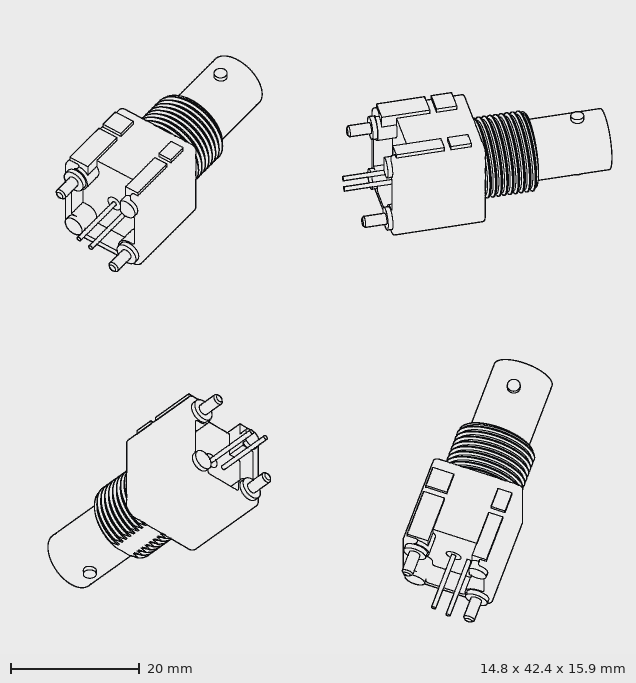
import cadquery as cq
import math


OVERALL_LENGTH = 42.35

HOUSING_WIDTH = 14.77
HOUSING_HEIGHT = 15.25
HOUSING_DEPTH = 14.75
TOP_CORNER_RADIUS = 1.0
BOTTOM_CORNER_RADIUS = 1.7
RIM_FILLET = 0.4

GRID = 2.55
CORNER_OFFSET = 2 * GRID
FOOT_RADIUS = 1.63
FOOT_HEIGHT = 0.75
BOSS_RADIUS = 2.095

CAVITY_DEPTH = 3.05
CAVITY_HALF_WIDTH = 6.05
CAVITY_FLOOR_Z = -6.4
CAVITY_FILLET = 0.42
NOTCH_DEPTH = 0.68
NOTCH_CORNER_RADIUS = 0.42

PAD_HEIGHT = 0.65
PAD_ROOT = 0.85
LEFT_PAD_X = (-6.85, -3.4)
RIGHT_PAD_X = (3.9, 6.22)
SHORT_PAD_DEPTHS = (2.05, 5.3)
LONG_PAD_DEPTHS = (6.35, HOUSING_DEPTH - NOTCH_DEPTH)

BARREL_RADIUS = 4.83
BARREL_LENGTH = 20.83
LUG_RADIUS = 1.0
LUG_REACH = 5.5
LUG_Y = 16.42
THREAD_LENGTH = 8.8
THREAD_ROOT_RADIUS = 5.9
THREAD_CREST_RADIUS = 6.35
THREAD_FRONT_RADIUS = 5.93
THREAD_PITCH = 0.905
THREAD_BASE_WIDTH = 0.7
THREAD_CREST_WIDTH = 0.13
THREAD_OVERLAP = 0.1
THREAD_FLAT_Z = -5.67
THREAD_TOP_CREST_Y = 0.7
THREAD_SPARE_TURNS = 2

CONTACT_RADIUS = 0.36
GROUND_CONTACT_DEPTH = OVERALL_LENGTH - BARREL_LENGTH
CENTRE_CONTACT_DEPTH = 21.1
INSULATOR_RADIUS = 1.23

FLANGE_RADIUS = 1.8
PEG_RADIUS = 0.9
PEG_LENGTH = 3.7
PEG_CHAMFER = 0.3

HALF_WIDTH = HOUSING_WIDTH / 2
HALF_HEIGHT = HOUSING_HEIGHT / 2
CAVITY_FLOOR_DEPTH = HOUSING_DEPTH - CAVITY_DEPTH


def block(x_range, depth_range, z_range):
    """Box between two X values, two depths and two Z values."""
    size = (x_range[1] - x_range[0], depth_range[1] - depth_range[0], z_range[1] - z_range[0])
    corner = (x_range[0], -depth_range[1], z_range[0])
    return cq.Workplane("XY").box(*size, centered=False).translate(corner)


def rod(radius, x, z, start_depth, end_depth):
    """Cylinder along Y between two depths."""
    plane = cq.Workplane("XZ", origin=(x, -start_depth, z))
    return plane.circle(radius).extrude(end_depth - start_depth)



def rim_notch():
    """Opening in the upper rear rim, ending on the upper left boss and the upper right foot."""
    notch = block(
        (-CORNER_OFFSET, CORNER_OFFSET),
        (HOUSING_DEPTH - NOTCH_DEPTH, HOUSING_DEPTH),
        (CORNER_OFFSET, HALF_HEIGHT),
    )
    boss = rod(BOSS_RADIUS, -CORNER_OFFSET, CORNER_OFFSET, 0, HOUSING_DEPTH)
    foot = rod(FOOT_RADIUS, CORNER_OFFSET, CORNER_OFFSET, 0, HOUSING_DEPTH)
    return notch.cut(boss).cut(foot)


def housing_shell():
    """Rounded block with the rim notch and softened front and rear edges."""
    shell = block((-HALF_WIDTH, HALF_WIDTH), (0, HOUSING_DEPTH), (-HALF_HEIGHT, HALF_HEIGHT))
    shell = shell.faces(">Z").edges("|Y").fillet(TOP_CORNER_RADIUS)
    shell = shell.faces("<Z").edges("|Y").fillet(BOTTOM_CORNER_RADIUS)
    shell = shell.cut(rim_notch())
    for side in (-1, 1):
        corner = (side * CORNER_OFFSET, -HOUSING_DEPTH + NOTCH_DEPTH / 2, HALF_HEIGHT)
        notch_corner = cq.selectors.NearestToPointSelector(corner)
        shell = shell.edges("|Y").edges(notch_corner).fillet(NOTCH_CORNER_RADIUS)
    shell = shell.faces(">Y").edges().fillet(RIM_FILLET)
    return shell.faces("<Y").edges("|Z").fillet(RIM_FILLET)


def arc_point(radius, centre_x, centre_z, angle):
    """Point on a circle in the XZ plane, with the angle in degrees from +X towards +Z."""
    turn = math.radians(angle)
    return (centre_x + radius * math.cos(turn), centre_z + radius * math.sin(turn))


def cavity():
    """Rear pocket that runs around the corner bosses and opens through the top."""
    c = CORNER_OFFSET
    left = -CAVITY_HALF_WIDTH
    right = CAVITY_HALF_WIDTH
    open_left = LEFT_PAD_X[1]
    open_right = RIGHT_PAD_X[0]
    boss_meets_pad_z = c + math.sqrt(BOSS_RADIUS**2 - (open_left + c) ** 2)
    outline = (
        cq.Workplane("XZ", origin=(0, -CAVITY_FLOOR_DEPTH, 0))
        .moveTo(open_left, HALF_HEIGHT)
        .lineTo(open_left, boss_meets_pad_z)
        .threePointArc(arc_point(BOSS_RADIUS, -c, c, 0), (-c, c - BOSS_RADIUS))
        .lineTo(left, c - BOSS_RADIUS)
        .lineTo(left, -c + FOOT_RADIUS)
        .lineTo(-c, -c + FOOT_RADIUS)
        .threePointArc(arc_point(FOOT_RADIUS, -c, -c, 45), (-c + FOOT_RADIUS, -c))
        .lineTo(-c + FOOT_RADIUS, CAVITY_FLOOR_Z)
        .lineTo(c - BOSS_RADIUS, CAVITY_FLOOR_Z)
        .lineTo(c - BOSS_RADIUS, -c)
        .threePointArc(arc_point(BOSS_RADIUS, c, -c, 135), (c, -c + BOSS_RADIUS))
        .lineTo(right, -c + BOSS_RADIUS)
        .lineTo(right, c - FOOT_RADIUS)
        .lineTo(open_right, c - FOOT_RADIUS)
        .lineTo(open_right, HALF_HEIGHT)
        .close()
    )
    pocket = outline.extrude(CAVITY_DEPTH)
    rounded_corners = [
        (left, c - BOSS_RADIUS),
        (-c + FOOT_RADIUS, CAVITY_FLOOR_Z),
        (c - BOSS_RADIUS, CAVITY_FLOOR_Z),
        (right, -c + BOSS_RADIUS),
        (right, c - FOOT_RADIUS),
    ]
    middle_y = -CAVITY_FLOOR_DEPTH - CAVITY_DEPTH / 2
    for x, z in rounded_corners:
        corner = cq.selectors.NearestToPointSelector((x, middle_y, z))
        pocket = pocket.edges("|Y").edges(corner).fillet(CAVITY_FILLET)
    return pocket


def feet():
    """Lower left round foot, and the upper right one cut flat along the cavity side."""
    bottom_depth = HOUSING_DEPTH + FOOT_HEIGHT
    lower_left = rod(FOOT_RADIUS, -CORNER_OFFSET, -CORNER_OFFSET, CAVITY_FLOOR_DEPTH, bottom_depth)
    upper_right = rod(FOOT_RADIUS, CORNER_OFFSET, CORNER_OFFSET, CAVITY_FLOOR_DEPTH, bottom_depth)
    beyond_flat = block(
        (0, RIGHT_PAD_X[0]), (CAVITY_FLOOR_DEPTH, bottom_depth), (0, HALF_HEIGHT)
    )
    return lower_left.union(upper_right.cut(beyond_flat))


def make_housing():
    """Shell with pads, rear cavity, feet and the through holes for insulator and ground contact."""
    housing = housing_shell()
    pad_z = (HALF_HEIGHT - PAD_ROOT, HALF_HEIGHT + PAD_HEIGHT)
    for pad_x in (LEFT_PAD_X, RIGHT_PAD_X):
        for pad_depths in (SHORT_PAD_DEPTHS, LONG_PAD_DEPTHS):
            housing = housing.union(block(pad_x, pad_depths, pad_z))
    housing = housing.cut(cavity()).union(feet())
    housing = housing.cut(rod(INSULATOR_RADIUS, 0, 0, 0, CAVITY_FLOOR_DEPTH))
    return housing.cut(rod(CONTACT_RADIUS, GRID, 0, 0, CAVITY_FLOOR_DEPTH))



def thread_ridge():
    """Right-hand helical ridge, longer than the threaded length at both ends."""
    height = THREAD_LENGTH + 2 * THREAD_SPARE_TURNS * THREAD_PITCH
    inner_radius = THREAD_ROOT_RADIUS - THREAD_OVERLAP
    helix = cq.Wire.makeHelix(THREAD_PITCH, height, inner_radius)
    section = (
        cq.Workplane("XZ")
        .moveTo(inner_radius, -THREAD_BASE_WIDTH / 2)
        .lineTo(THREAD_CREST_RADIUS, -THREAD_CREST_WIDTH / 2)
        .lineTo(THREAD_CREST_RADIUS, THREAD_CREST_WIDTH / 2)
        .lineTo(inner_radius, THREAD_BASE_WIDTH / 2)
        .close()
    )
    ridge = section.sweep(cq.Workplane(obj=helix), isFrenet=True)
    ridge = ridge.rotate((0, 0, 0), (1, 0, 0), -90).rotate((0, 0, 0), (0, 1, 0), -90)
    return ridge.translate((0, THREAD_TOP_CREST_Y - THREAD_SPARE_TURNS * THREAD_PITCH, 0))


def make_barrel():
    """Plain sleeve with two bayonet lugs and a threaded neck that is flat underneath."""
    spare = 2 * THREAD_SPARE_TURNS * THREAD_PITCH
    core = rod(THREAD_ROOT_RADIUS, 0, 0, -THREAD_LENGTH - spare, spare)
    reach = THREAD_CREST_RADIUS + 0.42
    envelope = rod(reach, 0, 0, -THREAD_LENGTH, 0).faces(">Y").chamfer(reach - THREAD_FRONT_RADIUS)
    above_flat = block((-reach, reach), (-THREAD_LENGTH, 0), (THREAD_FLAT_Z, reach))
    envelope = envelope.intersect(above_flat)
    threaded = core.union(thread_ridge(), clean=False).intersect(envelope, clean=False)
    sleeve = rod(BARREL_RADIUS, 0, 0, -BARREL_LENGTH, 0)
    lugs = (
        cq.Workplane("XY", origin=(0, LUG_Y, 0)).circle(LUG_RADIUS).extrude(LUG_REACH, both=True)
    )
    return threaded.union(sleeve.union(lugs), clean=False)



def make_contact(x, end_depth):
    """Straight round wire that starts at the back of the barrel."""
    return rod(CONTACT_RADIUS, x, 0, 0, end_depth)


def make_insulator():
    """Bush around the centre contact, flush with the cavity floor."""
    bush = rod(INSULATOR_RADIUS, 0, 0, 0, CAVITY_FLOOR_DEPTH)
    return bush.cut(rod(CONTACT_RADIUS, 0, 0, 0, CAVITY_FLOOR_DEPTH))


def make_peg(x, z):
    """Chamfered peg on a flange that rests on the housing rear face."""
    flange_end = HOUSING_DEPTH + FOOT_HEIGHT
    flange = rod(FLANGE_RADIUS, x, z, HOUSING_DEPTH, flange_end)
    stem = rod(PEG_RADIUS, x, z, flange_end, flange_end + PEG_LENGTH)
    stem = stem.faces("<Y").chamfer(PEG_CHAMFER)
    return flange.union(stem)


housing = make_housing()
barrel = make_barrel()
insulator = make_insulator()
centre_contact = make_contact(0, CENTRE_CONTACT_DEPTH)
ground_contact = make_contact(GRID, GROUND_CONTACT_DEPTH)
pegs = [make_peg(side * CORNER_OFFSET, -side * CORNER_OFFSET) for side in (-1, 1)]

result = cq.Compound.makeCompound(
    [body.val() for body in (housing, barrel, insulator, centre_contact, ground_contact, *pegs)]
)